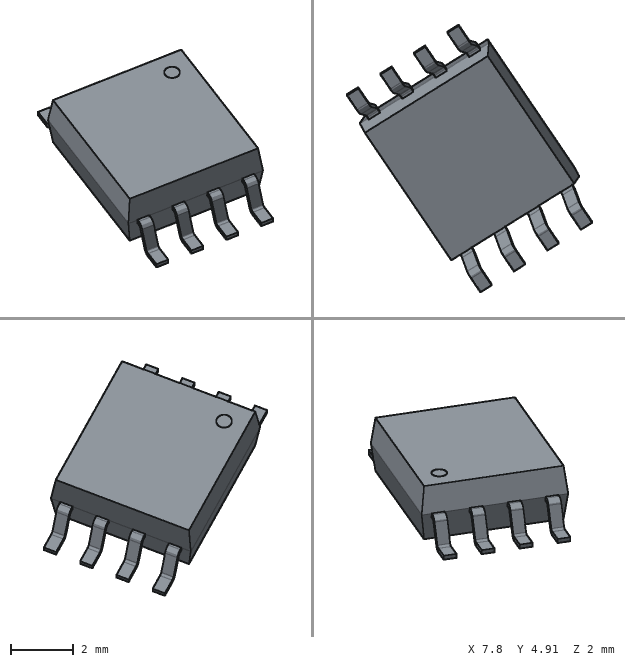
import cadquery as cq
import math

span_x = 7.8
body_x = 5.29
body_y = 4.91
half_body_height = 0.95
standoff = 0.1
draft_angle = 7.0
parting_z = standoff + half_body_height

leads_per_side = 4
lead_pitch = 1.27
lead_width = 0.43
lead_thickness = 0.15
foot_length = 0.56
bend_inner_radius = 0.1
bend_angle = 67.0
lead_embed = 0.08
bend_outer_radius = bend_inner_radius + lead_thickness

mark_diameter = 0.5
mark_inset = 0.75
mark_depth = 0.012


def make_body():
    upper_half = cq.Workplane("XY").rect(body_x, body_y).extrude(half_body_height, taper=draft_angle)
    lower_half = upper_half.mirror("XY")
    return upper_half.union(lower_half).translate((0, 0, parting_z))


def polar_point(center, radius, angle):
    radians = math.radians(angle)
    return (center[0] + radius * math.cos(radians), center[1] + radius * math.sin(radians))


def make_left_lead():
    """One lead on the -X side, centred on Y = 0."""
    tip_x = -span_x / 2
    inner_end_x = -body_x / 2 + lead_embed

    foot_bend = (tip_x + foot_length, bend_outer_radius)
    shoulder_z = parting_z - bend_outer_radius
    rise = shoulder_z - foot_bend[1]
    slope = math.radians(bend_angle)
    tangent_offset = bend_inner_radius + bend_outer_radius
    run = (tangent_offset + rise * math.cos(slope)) / math.sin(slope)
    shoulder_bend = (foot_bend[0] + run, shoulder_z)

    foot_start, foot_middle, foot_end = -90, -90 + bend_angle / 2, -90 + bend_angle
    shoulder_start, shoulder_middle, shoulder_end = 90 + bend_angle, 90 + bend_angle / 2, 90

    profile = (
        cq.Workplane("XZ")
        .moveTo(tip_x, 0)
        .lineTo(*polar_point(foot_bend, bend_outer_radius, foot_start))
        .threePointArc(
            polar_point(foot_bend, bend_outer_radius, foot_middle),
            polar_point(foot_bend, bend_outer_radius, foot_end),
        )
        .lineTo(*polar_point(shoulder_bend, bend_inner_radius, shoulder_start))
        .threePointArc(
            polar_point(shoulder_bend, bend_inner_radius, shoulder_middle),
            polar_point(shoulder_bend, bend_inner_radius, shoulder_end),
        )
        .lineTo(inner_end_x, parting_z - lead_thickness)
        .lineTo(inner_end_x, parting_z)
        .lineTo(*polar_point(shoulder_bend, bend_outer_radius, shoulder_end))
        .threePointArc(
            polar_point(shoulder_bend, bend_outer_radius, shoulder_middle),
            polar_point(shoulder_bend, bend_outer_radius, shoulder_start),
        )
        .lineTo(*polar_point(foot_bend, bend_inner_radius, foot_end))
        .threePointArc(
            polar_point(foot_bend, bend_inner_radius, foot_middle),
            polar_point(foot_bend, bend_inner_radius, foot_start),
        )
        .lineTo(tip_x, lead_thickness)
        .close()
    )
    return profile.extrude(lead_width / 2, both=True)


def make_pin_1_mark():
    draft_inset = half_body_height * math.tan(math.radians(draft_angle))
    mark_x = -(body_x / 2 - draft_inset - mark_inset)
    mark_y = body_y / 2 - draft_inset - mark_inset
    top_z = parting_z + half_body_height
    top_plane = cq.Workplane("XY", origin=(mark_x, mark_y, top_z))
    return top_plane.circle(mark_diameter / 2).extrude(-mark_depth)


result = make_body().cut(make_pin_1_mark())

left_lead = make_left_lead()
right_lead = left_lead.mirror("YZ")
for index in range(leads_per_side):
    lead_y = (index - (leads_per_side - 1) / 2) * lead_pitch
    result = result.union(left_lead.translate((0, lead_y, 0)))
    result = result.union(right_lead.translate((0, lead_y, 0)))